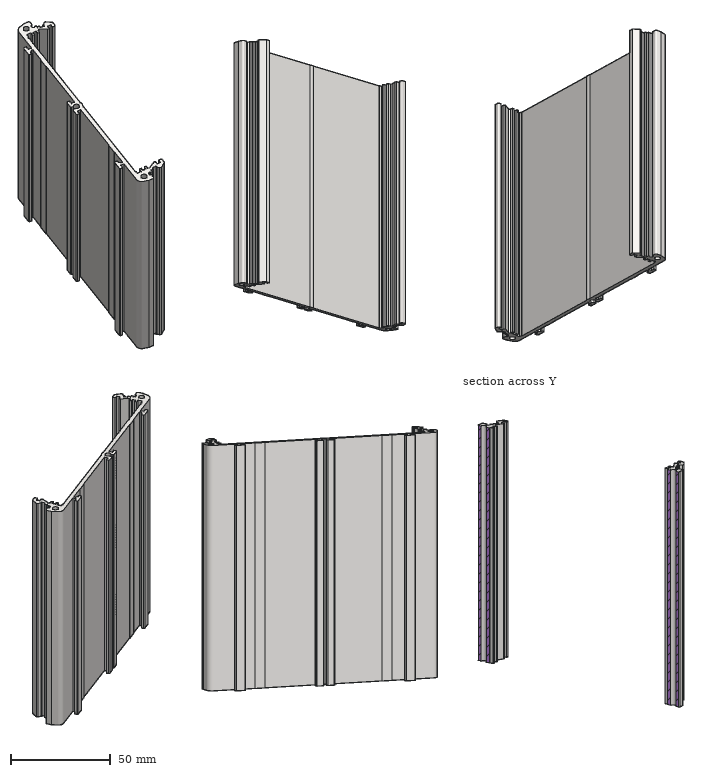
import cadquery as cq

LENGTH = 125.0
HALF_WIDTH = 61.3
HOOK_TOP = 18.0
FOOT_BOTTOM = -3.5

WALL = 2.3
CORNER_LIP = 0.4
CORNER_LIP_X = 52.8

SCREW_DIAMETER = 3.0
SCREW_X = 57.75
SCREW_Y = 4.35
BLOCK_TOP = 8.3
BLOCK_INNER_X = 58.3
BLOCK_OUTER_RADIUS = 0.9
BLOCK_INNER_RADIUS = 0.6
CORNER_START_X = 57.5
CORNER_END = (60.35, 1.85)
FLANK_END = (61.0, 4.2)
FLANK_TOP_Y = 5.1
GROOVE_Y = 7.4
GROOVE_INNER_X = 57.1

ARM_INNER_X = 53.8
ARM_WAIST = (54.2, 9.7)
ARM_OUTER_X = 55.0

TOOTH_TIPS = ((56.1, 11.0), (57.05, 9.7))
TOOTH_LAND = 1.0
TOOTH_ROOT_DROP = 1.4
TOOTH_ROOT_INSET = 0.5

HOOK_INNER_X = 52.0
HOOK_INNER_RADIUS = 0.6
HOOK_TOP_OUTER_X = 54.7
HOOK_SLOPE_TOP = (55.2, 17.4)
HOOK_BARB = (57.0, 14.9)
HOOK_BARB_BOTTOM = (56.7, 14.1)
HOOK_TAIL_TIP = (55.6, 12.6)
HOOK_POCKET_OUTER_X = 55.35
HOOK_POCKET_INNER_X = 54.8
HOOK_POCKET_TOP = 13.1
SLOT_BOTTOM = 14.4
SLOT_TOP = 16.3
SLOT_JAW = 1.0

GUIDE_X = 52.3
GUIDE_HEIGHT = 1.1
GUIDE_BOTTOMS = (4.9, 7.75)

FOOT_TOP = -1.8
FOOT_CHAMFER = 0.45
SIDE_FOOT_X = 44.6
SIDE_FOOT_WIDTH = 5.4
SIDE_STEM_WIDTH = 1.4
STEM_GUSSET = 0.9
CENTRE_FOOT_X = 4.95
CENTRE_STEM_X = 3.0
NECK_HALF_WIDTH = 0.7

CHANNEL_RADIUS = 1.5
CHANNEL_Y = -0.75
CHANNEL_COVER = 1.85

PAD_INNER_X = 30.7
PAD_OUTER_X = 36.0
PAD_HEIGHT = 0.2


def extrude(sketch):
    return sketch.close().extrude(LENGTH)


def box(x_min, x_max, y_min, y_max):
    """Full-length bar with a rectangular section."""
    return cq.Workplane("XY").box(x_max - x_min, y_max - y_min, LENGTH, centered=False).translate(
        (x_min, y_min, 0)
    )


def wall():
    """Half of the flat wall, with the raised lip beside the arm."""
    flat = box(0, CORNER_START_X, 0, WALL)
    lip = box(CORNER_LIP_X, CORNER_START_X, 0, WALL + CORNER_LIP)
    return flat.union(lip)


def end_block_and_arm():
    """Rounded side block, serrated clip arm and its hook as one closed outline."""
    outline = (
        cq.Workplane("XY")
        .moveTo(ARM_WAIST[0], 0)
        .lineTo(CORNER_START_X, 0)
        .tangentArcPoint(CORNER_END, relative=False)
        .lineTo(*FLANK_END)
        .lineTo(HALF_WIDTH, FLANK_TOP_Y)
        .lineTo(HALF_WIDTH, BLOCK_TOP - BLOCK_OUTER_RADIUS)
        .radiusArc((HALF_WIDTH - BLOCK_OUTER_RADIUS, BLOCK_TOP), -BLOCK_OUTER_RADIUS)
        .lineTo(BLOCK_INNER_X + BLOCK_INNER_RADIUS, BLOCK_TOP)
        .radiusArc((BLOCK_INNER_X, BLOCK_TOP - BLOCK_INNER_RADIUS), -BLOCK_INNER_RADIUS)
        .lineTo(BLOCK_INNER_X, GROOVE_Y)
        .lineTo(GROOVE_INNER_X, GROOVE_Y)
    )
    for tip_x, tip_y in reversed(TOOTH_TIPS):
        outline = (
            outline.lineTo(tip_x - TOOTH_ROOT_INSET, tip_y - TOOTH_ROOT_DROP)
            .lineTo(tip_x, tip_y - TOOTH_LAND)
            .lineTo(tip_x, tip_y)
        )
    outline = (
        outline.lineTo(ARM_OUTER_X, TOOTH_TIPS[0][1])
        .lineTo(HOOK_POCKET_INNER_X, HOOK_POCKET_TOP)
        .lineTo(HOOK_POCKET_OUTER_X, HOOK_POCKET_TOP)
        .lineTo(*HOOK_TAIL_TIP)
        .lineTo(HOOK_TAIL_TIP[0], HOOK_POCKET_TOP)
        .lineTo(*HOOK_BARB_BOTTOM)
        .lineTo(*HOOK_BARB)
        .lineTo(*HOOK_SLOPE_TOP)
        .lineTo(HOOK_TOP_OUTER_X, HOOK_TOP)
        .lineTo(HOOK_INNER_X + HOOK_INNER_RADIUS, HOOK_TOP)
        .radiusArc((HOOK_INNER_X, HOOK_TOP - HOOK_INNER_RADIUS), -HOOK_INNER_RADIUS)
        .lineTo(HOOK_INNER_X, SLOT_TOP)
        .lineTo(ARM_INNER_X, SLOT_TOP)
        .lineTo(ARM_INNER_X, SLOT_BOTTOM)
        .lineTo(HOOK_INNER_X, SLOT_BOTTOM)
        .lineTo(HOOK_INNER_X, SLOT_BOTTOM - SLOT_JAW)
        .lineTo(*ARM_WAIST)
        .lineTo(ARM_INNER_X, GUIDE_BOTTOMS[-1] + GUIDE_HEIGHT)
        .lineTo(ARM_INNER_X, GUIDE_BOTTOMS[0])
        .lineTo(ARM_WAIST[0], GUIDE_BOTTOMS[0])
    )
    hole = cq.Workplane("XY").center(SCREW_X, SCREW_Y).circle(SCREW_DIAMETER / 2).extrude(LENGTH)
    return extrude(outline).cut(hole)


def guide_rib(bottom):
    """Rib that carries a board edge, rooted inside the arm."""
    return box(GUIDE_X, ARM_WAIST[0], bottom, bottom + GUIDE_HEIGHT)


def foot_plate(x_min, x_max):
    """Flat foot with chamfered outer corners."""
    return box(x_min, x_max, FOOT_BOTTOM, FOOT_TOP).faces("<Y").edges("|Z").chamfer(FOOT_CHAMFER)


def side_foot():
    stem_inner = SIDE_FOOT_X - SIDE_STEM_WIDTH / 2
    stem = box(stem_inner, stem_inner + SIDE_STEM_WIDTH, FOOT_TOP, WALL / 2)
    gusset = extrude(
        cq.Workplane("XY")
        .moveTo(stem_inner, FOOT_TOP)
        .lineTo(stem_inner - STEM_GUSSET, FOOT_TOP)
        .lineTo(stem_inner, FOOT_TOP + STEM_GUSSET)
    )
    plate = foot_plate(SIDE_FOOT_X - SIDE_FOOT_WIDTH / 2, SIDE_FOOT_X + SIDE_FOOT_WIDTH / 2)
    return plate.union(stem).union(gusset)


def centre_foot():
    stem = box(NECK_HALF_WIDTH, CENTRE_STEM_X, FOOT_TOP, WALL / 2)
    return foot_plate(NECK_HALF_WIDTH, CENTRE_FOOT_X).union(stem)


def pad():
    return box(PAD_INNER_X, PAD_OUTER_X, -PAD_HEIGHT, WALL / 2)


def channel_cylinder(radius):
    return cq.Workplane("XY").center(0, CHANNEL_Y).circle(radius).extrude(LENGTH)


def channel_cover():
    """Rounded crest on the inner face, concentric with the screw channel."""
    crest = channel_cylinder(CHANNEL_RADIUS + CHANNEL_COVER)
    return crest.intersect(box(-HALF_WIDTH, HALF_WIDTH, WALL / 2, HOOK_TOP))


half = wall()
for feature in (end_block_and_arm(), side_foot(), centre_foot(), pad()):
    half = half.union(feature)
for rib_bottom in GUIDE_BOTTOMS:
    half = half.union(guide_rib(rib_bottom))

profile = half.union(half.mirror("YZ"))
profile = profile.union(channel_cover()).cut(channel_cylinder(CHANNEL_RADIUS))
result = profile.clean()